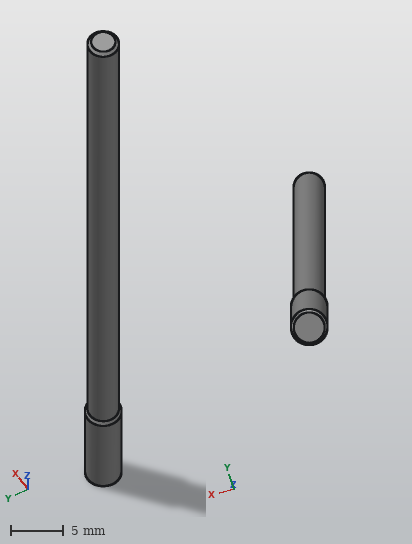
import cadquery as cq

total_length = 70.0
tip_diameter = 3.5
rod_diameter = 3.0
tip_length = 10.5

rod_end_chamfer = 0.35
tip_base_chamfer = 0.3
shoulder_height = 0.4
shoulder_width = (tip_diameter - rod_diameter) / 2


def make_tip():
    """Thick solid tip whose conical shoulder narrows to the rod diameter."""
    tip = cq.Workplane("XY").circle(tip_diameter / 2).extrude(tip_length)
    tip = tip.faces("<Z").chamfer(tip_base_chamfer)
    return tip.faces(">Z").edges().chamfer(shoulder_height, shoulder_width)


def make_rod():
    """Slender rod that stands on the tip and has a chamfered free end."""
    rod_length = total_length - tip_length
    rod = cq.Workplane("XY").workplane(offset=tip_length).circle(rod_diameter / 2).extrude(rod_length)
    return rod.faces(">Z").chamfer(rod_end_chamfer)


tip = make_tip()
rod = make_rod()

result = cq.Compound.makeCompound([tip.val(), rod.val()])